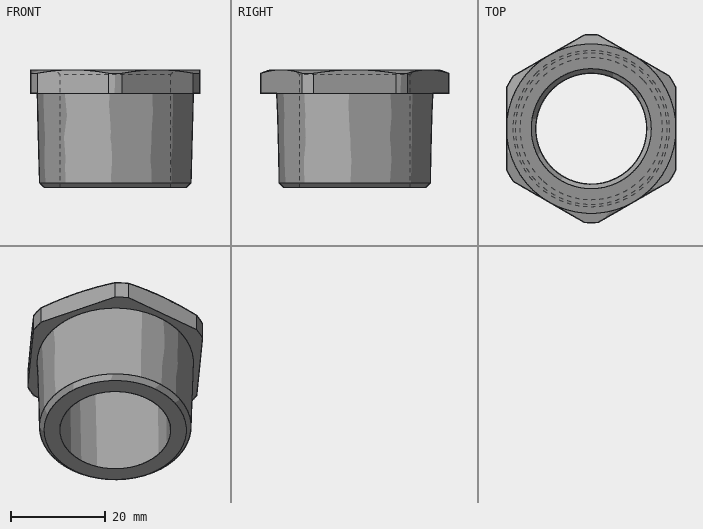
import cadquery as cq
import math

across_flats = 36.0
across_corners = 40.0
head_height = 5.0
head_bevel_angle = 20.0

total_height = 25.0
body_top_diameter = 33.25
body_bottom_diameter = 32.25
body_chamfer = 1.0

bore_diameter = 23.5
bore_chamfer = 1.0

head_bottom = total_height - head_height


def make_head():
    """Hexagon with flats facing X, its corners turned round and bevelled on top."""
    sharp_corner_diameter = across_flats / math.cos(math.radians(30))
    hexagon = (
        cq.Workplane("XY", origin=(0, 0, head_bottom))
        .polygon(6, sharp_corner_diameter)
        .extrude(head_height)
        .rotate((0, 0, 0), (0, 0, 1), 30)
    )
    flat_radius = across_flats / 2
    corner_radius = across_corners / 2
    bevel_drop = (corner_radius - flat_radius) * math.tan(math.radians(head_bevel_angle))
    turned_envelope = (
        cq.Workplane("XZ")
        .moveTo(0, head_bottom)
        .lineTo(corner_radius, head_bottom)
        .lineTo(corner_radius, total_height - bevel_drop)
        .lineTo(flat_radius, total_height)
        .lineTo(0, total_height)
        .close()
        .revolve(360, (0, 0), (0, 1))
    )
    return hexagon.intersect(turned_envelope)


def make_body():
    """Round body narrowing towards a chamfered lower end."""
    bottom_radius = body_bottom_diameter / 2
    return (
        cq.Workplane("XZ")
        .lineTo(bottom_radius - body_chamfer, 0)
        .lineTo(bottom_radius, body_chamfer)
        .lineTo(body_top_diameter / 2, head_bottom)
        .lineTo(0, head_bottom)
        .close()
        .revolve(360, (0, 0), (0, 1))
    )


def make_bore():
    """Through bore with a chamfered mouth at the head."""
    bore_radius = bore_diameter / 2
    return (
        cq.Workplane("XZ")
        .lineTo(bore_radius, 0)
        .lineTo(bore_radius, total_height - bore_chamfer)
        .lineTo(bore_radius + bore_chamfer, total_height)
        .lineTo(0, total_height)
        .close()
        .revolve(360, (0, 0), (0, 1))
    )


result = make_body().union(make_head()).cut(make_bore())